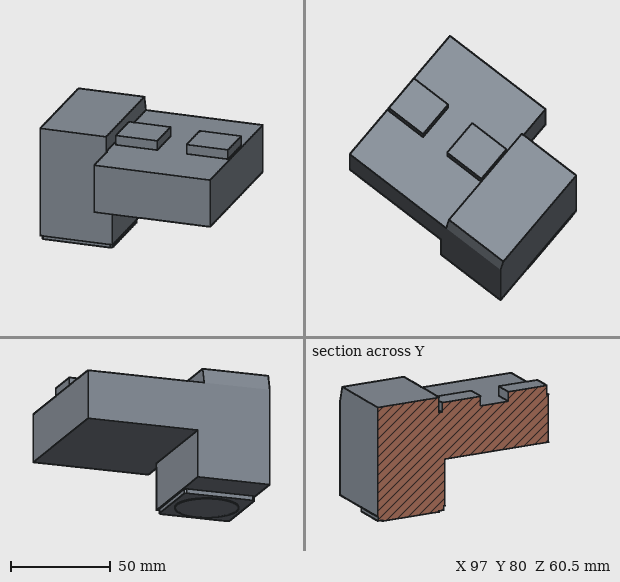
import cadquery as cq

total_length = 97.0
total_depth = 80.0
total_height = 60.5

head_lower_width = 38.4
head_upper_width = 35.0
head_depth = 60.5
head_height = 57.7
ledge_drop = 8.0
back_bevel_depth = 2.3

arm_start_x = 35.5
arm_thickness = 25.2

pad_length = 22.0
pad_width = 20.0
pad_height = 5.0
pad_end_margin = 1.0

boss_diameter = 32.0
boss_height = 0.5
plate_length_x = 37.4
plate_length_y = 38.0
plate_corner_chamfer = 1.0
base_center_x = 19.0
base_front_offset = 20.4

back_y = total_depth
head_front_y = back_y - head_depth
head_bottom_z = total_height - head_height
ledge_z = total_height - ledge_drop
plate_height = head_bottom_z - boss_height
base_center_y = head_front_y + base_front_offset
first_pad_center_x = arm_start_x + pad_end_margin + pad_length / 2
last_pad_center_x = total_length - pad_end_margin - pad_length / 2


def make_head():
    """Stepped body: wide below the ledge, narrower and bevelled at the back above it."""
    lower = cq.Workplane("XY").box(
        head_lower_width, head_depth, ledge_z - head_bottom_z, centered=False
    ).translate((0, head_front_y, head_bottom_z))
    upper = (
        cq.Workplane("YZ")
        .moveTo(head_front_y, ledge_z)
        .lineTo(back_y, ledge_z)
        .lineTo(back_y - back_bevel_depth, total_height)
        .lineTo(head_front_y, total_height)
        .close()
        .extrude(head_upper_width)
    )
    return lower.union(upper)


def make_arm():
    """Full-depth block whose top is level with the ledge of the head."""
    arm_length = total_length - arm_start_x
    return cq.Workplane("XY").box(
        arm_length, total_depth, arm_thickness, centered=False
    ).translate((arm_start_x, 0, ledge_z - arm_thickness))


def make_pads():
    """Two equal rectangular pads, centred across the depth of the arm."""
    pad_centers = [(x, total_depth / 2) for x in (first_pad_center_x, last_pad_center_x)]
    return (
        cq.Workplane("XY", origin=(0, 0, ledge_z))
        .pushPoints(pad_centers)
        .rect(pad_length, pad_width)
        .extrude(pad_height)
    )


def make_base():
    """Plate with chamfered corners and, below it, a thin round boss on the same axis."""
    plate = (
        cq.Workplane("XY", origin=(base_center_x, base_center_y, boss_height))
        .rect(plate_length_x, plate_length_y)
        .extrude(plate_height)
        .edges("|Z")
        .chamfer(plate_corner_chamfer)
    )
    boss = (
        cq.Workplane("XY", origin=(base_center_x, base_center_y, 0))
        .circle(boss_diameter / 2)
        .extrude(boss_height)
    )
    return plate.union(boss)


result = make_head().union(make_arm()).union(make_pads()).union(make_base())